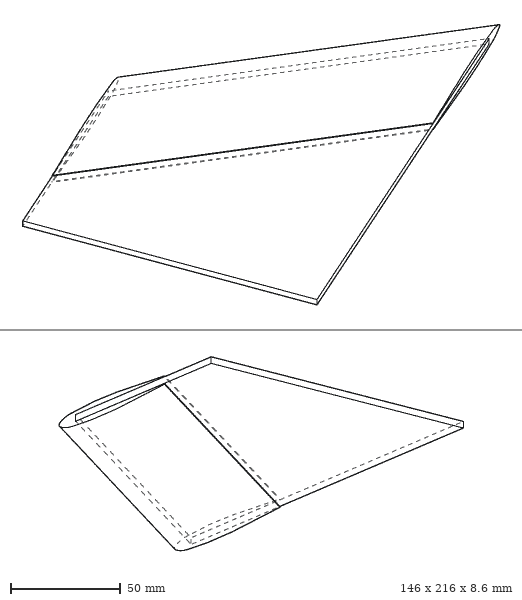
import cadquery as cq
import math

span = 146.0
length = 216.0
sweep_angle = 35.0
sweep_rise = span * math.tan(math.radians(sweep_angle))

sleeve_chord = 78.8
sleeve_thickness = 8.6
tail_thickness = 4.0
foil_stations = [
    (3.2, 2.07),
    (10.8, 3.5),
    (32.4, sleeve_thickness / 2),
    (56.1, 3.32),
    (sleeve_chord, tail_thickness / 2),
]

plate_thickness = 3.2
plate_inset = 12.5

nose_y = length - sweep_rise
plate_front_y = nose_y - plate_inset


def make_plate():
    """Flat plate with a swept front edge and a straight rear edge."""
    return (
        cq.Workplane("XY")
        .workplane(offset=-plate_thickness / 2)
        .polyline([
            (0, 0),
            (span, 0),
            (span, plate_front_y + sweep_rise),
            (0, plate_front_y),
        ])
        .close()
        .extrude(plate_thickness)
    )


def sleeve_section():
    """Foil outline on the X = 0 side: one smooth curve around the nose, closed by a blunt tail."""
    upper = [(nose_y - setback, height) for setback, height in foil_stations]
    lower = [(y, -z) for y, z in reversed(upper)]
    nose = (nose_y, 0)
    return (
        cq.Workplane("YZ")
        .spline([*lower, nose, *upper])
        .close()
    )


def make_sleeve(plate):
    """Foil section extruded along the swept leading edge, slotted for the plate."""
    outline = sleeve_section().val()
    sweep_direction = cq.Vector(span, sweep_rise, 0)
    foil = cq.Solid.extrudeLinear(outline, [], sweep_direction)
    return cq.Workplane(obj=foil).cut(plate)


plate = make_plate()
sleeve = make_sleeve(plate)

result = cq.Compound.makeCompound([plate.val(), *sleeve.vals()])